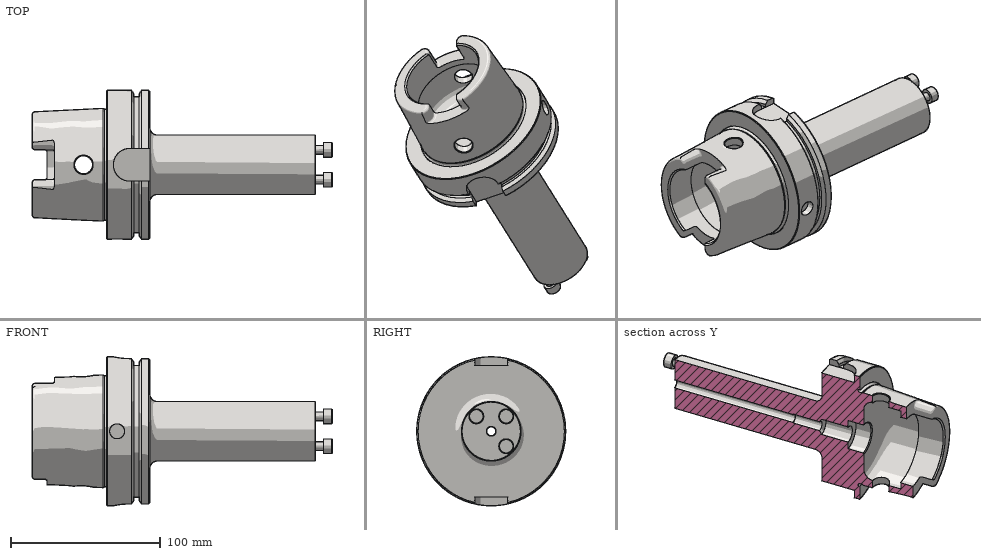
import cadquery as cq
import math

UP = 1
DOWN = -1

shank_length = 50
taper_ratio = 1 / 9.98
taper_end_diameter = 75.75
shank_edge_round = 2
relief_diameter = 74.7
relief_width = 2.6
relief_slope_length = 1.2
face_recess_radius = 1.6

flange_diameter = 100
flange_width = 29
flange_contact_chamfer = 0.5
flange_back_chamfer = 1
groove_center = 20
groove_mouth_width = 7
groove_floor_width = 3.4
groove_wall_radius = 47.6
groove_floor_radius = 45.6

neck_diameter = 40
neck_end = 140
neck_root_radius = 5
neck_edge_chamfer = 0.5

lip_diameter = 53
lip_depth = 19.5
mouth_chamfer = 1
undercut_diameter = 63
undercut_end = -10
floor_round = 7
pocket_diameter = 22.5
pocket_chamfer = 0.7
pocket_depth = 12
drill_diameter = 12
drill_depth = 20
drill_tip_angle = 118
coolant_diameter = 6.8
coolant_end_diameter = 6
coolant_length = 20

drive_slot_width = 20
drive_slot_round = 4.5
drive_slot_height = 32.2
drive_slot_floor_round = 1.5
drive_slot_depths = {UP: 15, DOWN: 10}

cross_hole_diameter = 12
cross_hole_chamfer = 0.5
cross_hole_x = -15.5
flange_slot_width = 22
flange_slot_start = 4.5
flange_slot_floor = 44
chip_hole_diameter = 10
chip_hole_x = 7
chip_hole_depth = 5

screw_pitch = 20
screw_shank_diameter = 6
screw_head_diameter = 10
screw_head_length = 6
screw_head_chamfer = 0.5
screw_tip = 151.3
screw_engagement = 12

clearance = 1


def taper_radius(x):
    """Radius of the shank cone at an axial position."""
    return (taper_end_diameter + (x + relief_width) * taper_ratio) / 2


def rod(diameter, start, end, y=0, z=0):
    """Cylinder along X."""
    return cq.Workplane("YZ", origin=(start, y, z)).circle(diameter / 2).extrude(end - start)


def outer_body():
    flange_radius = flange_diameter / 2
    neck_radius = neck_diameter / 2
    relief_radius = relief_diameter / 2
    outline = (
        cq.Workplane("XY")
        .moveTo(-shank_length, 0)
        .lineTo(-shank_length, taper_radius(-shank_length))
        .lineTo(-relief_width, taper_radius(-relief_width))
        .lineTo(-relief_width + relief_slope_length, relief_radius)
        .lineTo(0, relief_radius)
        .radiusArc((face_recess_radius, relief_radius + face_recess_radius), -face_recess_radius)
        .lineTo(0, relief_radius + face_recess_radius)
        .lineTo(0, flange_radius - flange_contact_chamfer)
        .lineTo(flange_contact_chamfer, flange_radius)
        .lineTo(groove_center - groove_mouth_width / 2, flange_radius)
        .lineTo(groove_center - groove_floor_width / 2, groove_wall_radius)
        .lineTo(groove_center - groove_floor_width / 2, groove_floor_radius)
        .lineTo(groove_center + groove_floor_width / 2, groove_floor_radius)
        .lineTo(groove_center + groove_floor_width / 2, groove_wall_radius)
        .lineTo(groove_center + groove_mouth_width / 2, flange_radius)
        .lineTo(flange_width - flange_back_chamfer, flange_radius)
        .lineTo(flange_width, flange_radius - flange_back_chamfer)
        .lineTo(flange_width, neck_radius + neck_root_radius)
        .radiusArc((flange_width + neck_root_radius, neck_radius), -neck_root_radius)
        .lineTo(neck_end - neck_edge_chamfer, neck_radius)
        .lineTo(neck_end, neck_radius - neck_edge_chamfer)
        .lineTo(neck_end, 0)
        .close()
    )
    return outline.revolve(360, (0, 0, 0), (1, 0, 0))


def bore():
    lip_radius = lip_diameter / 2
    undercut_radius = undercut_diameter / 2
    pocket_radius = pocket_diameter / 2
    drill_radius = drill_diameter / 2
    coolant_radius = coolant_diameter / 2
    coolant_end_radius = coolant_end_diameter / 2
    lip_end = -shank_length + lip_depth
    floor = undercut_end + floor_round
    pocket_floor = floor + pocket_depth
    drill_end = pocket_floor + drill_depth
    tip_length = (drill_radius - coolant_radius) / math.tan(math.radians(drill_tip_angle / 2))
    coolant_end = drill_end + tip_length + coolant_length
    outline = (
        cq.Workplane("XY")
        .moveTo(-shank_length, 0)
        .lineTo(-shank_length, lip_radius + mouth_chamfer)
        .lineTo(-shank_length + mouth_chamfer, lip_radius)
        .lineTo(lip_end, lip_radius)
        .lineTo(lip_end, undercut_radius)
        .lineTo(undercut_end, undercut_radius)
        .radiusArc((floor, undercut_radius - floor_round), floor_round)
        .lineTo(floor, pocket_radius + pocket_chamfer)
        .lineTo(floor + pocket_chamfer, pocket_radius)
        .lineTo(pocket_floor, pocket_radius)
        .lineTo(pocket_floor, drill_radius)
        .lineTo(drill_end, drill_radius)
        .lineTo(drill_end + tip_length, coolant_radius)
        .lineTo(coolant_end, coolant_radius)
        .lineTo(coolant_end, coolant_end_radius)
        .lineTo(neck_end, coolant_end_radius)
        .lineTo(neck_end, 0)
        .close()
    )
    return outline.revolve(360, (0, 0, 0), (1, 0, 0))


def drive_slot(side):
    """Slot with straight walls whose outer corners roll over into a flat, and a rounded floor edge."""
    half = drive_slot_width / 2
    shoulder = half + drive_slot_round
    shoulder_height = drive_slot_height - drive_slot_round
    top = flange_diameter / 2
    slot = (
        cq.Workplane("YZ", origin=(-shank_length, 0, 0))
        .moveTo(-half, 0)
        .lineTo(-half, side * shoulder_height)
        .radiusArc((-shoulder, side * drive_slot_height), -side * drive_slot_round)
        .lineTo(-top, side * drive_slot_height)
        .lineTo(-top, side * top)
        .lineTo(top, side * top)
        .lineTo(top, side * drive_slot_height)
        .lineTo(shoulder, side * drive_slot_height)
        .radiusArc((half, side * shoulder_height), -side * drive_slot_round)
        .lineTo(half, 0)
        .close()
        .extrude(drive_slot_depths[side])
    )
    return slot.faces(">X").edges().fillet(drive_slot_floor_round)


def flange_slot(side):
    radius = flange_slot_width / 2
    center = flange_slot_start + radius
    length = flange_width - center + clearance
    height = side * flange_diameter / 2
    base = cq.Workplane("XY", origin=(0, 0, side * flange_slot_floor))
    depth = height - side * flange_slot_floor
    round_end = base.center(center, 0).circle(radius).extrude(depth)
    straight = base.center(center + length / 2, 0).rect(length, flange_slot_width).extrude(depth)
    return round_end.union(straight)


def cross_hole():
    plane = cq.Workplane("XY", origin=(cross_hole_x, 0, -flange_diameter / 2))
    return plane.circle(cross_hole_diameter / 2).extrude(flange_diameter)


def cross_hole_rim(side):
    """Selector for the edge where the cross hole breaks the outside of the shank."""
    reach = cross_hole_diameter / 2 + clearance
    inner = (cross_hole_x - reach, -reach, side * (undercut_diameter / 2 + clearance))
    outer = (cross_hole_x + reach, reach, side * taper_end_diameter / 2)
    return cq.selectors.BoxSelector(inner, outer)


def chip_hole():
    floor = -flange_diameter / 2 + chip_hole_depth
    plane = cq.Workplane("XZ", origin=(chip_hole_x, floor, 0))
    return plane.circle(chip_hole_diameter / 2).extrude(chip_hole_depth)


def screw(y, z):
    head_start = screw_tip - screw_head_length
    head = rod(screw_head_diameter, head_start, screw_tip, y, z).faces(">X").chamfer(screw_head_chamfer)
    return rod(screw_shank_diameter, neck_end - screw_engagement, head_start + clearance, y, z).union(head)


offset = screw_pitch / 2
screw_places = [(-offset, offset), (offset, offset), (offset, -offset)]

holder = outer_body()
for side in (UP, DOWN):
    holder = holder.cut(drive_slot(side))
holder = holder.faces("<X").edges().fillet(shank_edge_round)
holder = holder.cut(bore()).cut(cross_hole()).cut(chip_hole())
for side in (UP, DOWN):
    holder = holder.edges(cross_hole_rim(side)).chamfer(cross_hole_chamfer)
    holder = holder.cut(flange_slot(side))
for y, z in screw_places:
    holder = holder.cut(rod(screw_shank_diameter, neck_end - screw_engagement, neck_end, y, z))

screws = [screw(y, z).val() for y, z in screw_places]

result = cq.Compound.makeCompound([holder.val(), *screws])